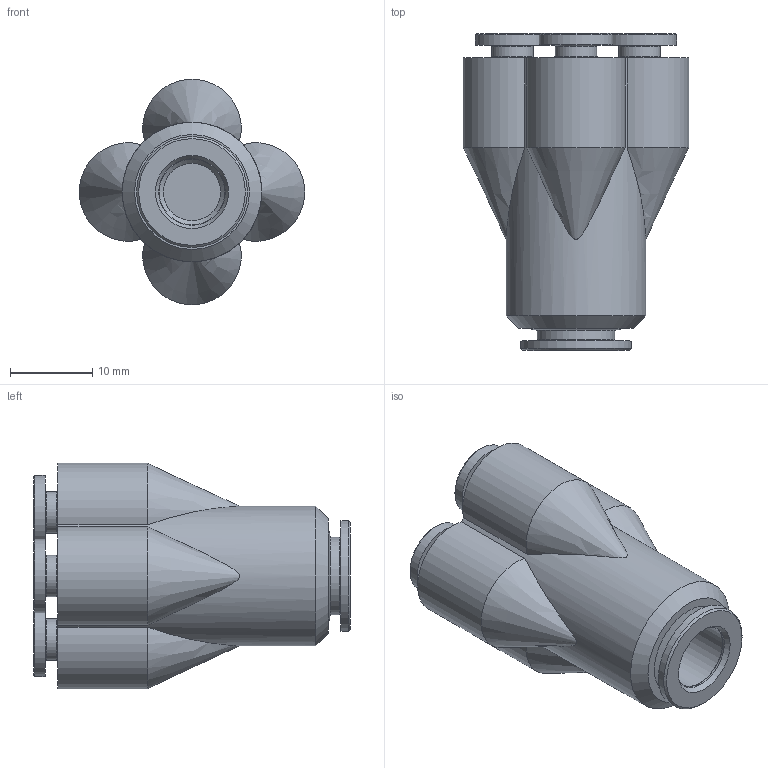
import cadquery as cq


overall_length = 38.6
branch_count = 4

body_radius = 8.5
body_chamfer = 1.5

inlet_flange_radius = 6.75
inlet_flange_thickness = 1.15
inlet_flange_chamfer = 0.25
inlet_neck_radius = 4.73
inlet_neck_fillet = 0.15
inlet_projection = 2.7
inlet_flare_radius = 5.9
inlet_flare_height = 0.25

bore_mouth_radius = 4.45
bore_lead_depth = 0.6
bore_land_radius = 4.05
bore_land_length = 0.25
bore_radius = 4.0
bore_depth = 17.0
bore_seat_radius = 3.5
bore_seat_depth = 0.5

branch_radius = 6.0
branch_offset = 7.75
branch_barrel_length = 10.95
branch_cone_run = 11.2

outlet_flange_radius = 4.5
outlet_flange_thickness = 1.4
outlet_flange_chamfer = 0.15
outlet_neck_radius = 2.53
outlet_neck_fillet = 0.2
outlet_projection = 2.95
outlet_flare_radius = 3.1
outlet_flare_height = 0.12

front_end = -overall_length / 2
rear_end = overall_length / 2
body_front = front_end + inlet_projection
body_rear = rear_end - outlet_projection
barrel_front = body_rear - branch_barrel_length

cone_slope = (branch_offset + branch_radius - body_radius) / branch_cone_run
cone_apex = barrel_front - branch_radius / cone_slope


def revolve_about_y(profile):
    """Revolve a closed profile, drawn in the XY plane as (radius, y), about the Y axis."""
    return profile.close().revolve(360, (0, 0, 0), (0, 1, 0))


def make_body():
    """Round main body with a chamfered front edge."""
    return revolve_about_y(
        cq.Workplane("XY")
        .moveTo(0, body_front)
        .lineTo(body_radius - body_chamfer, body_front)
        .lineTo(body_radius, body_front + body_chamfer)
        .lineTo(body_radius, body_rear)
        .lineTo(0, body_rear)
    )


def make_branch():
    """Barrel with a conical front end, centred on the Y axis."""
    return revolve_about_y(
        cq.Workplane("XY")
        .moveTo(0, cone_apex)
        .lineTo(branch_radius, barrel_front)
        .lineTo(branch_radius, body_rear)
        .lineTo(0, body_rear)
    )


def make_collet(face, tip, flange_radius, flange_thickness, flange_chamfer, neck_radius, neck_fillet,
                flare_radius, flare_height):
    """Flanged release collet on the Y axis, with a shallow cone where its neck stands on the body face."""
    outward = 1 if tip > face else -1
    flare_top = face + outward * flare_height
    flange_back = tip - outward * flange_thickness
    return revolve_about_y(
        cq.Workplane("XY")
        .moveTo(0, face)
        .lineTo(flare_radius, face)
        .lineTo(neck_radius, flare_top)
        .lineTo(neck_radius, flange_back - outward * neck_fillet)
        .radiusArc((neck_radius + neck_fillet, flange_back), outward * neck_fillet)
        .lineTo(flange_radius, flange_back)
        .lineTo(flange_radius, tip - outward * flange_chamfer)
        .lineTo(flange_radius - flange_chamfer, tip)
        .lineTo(0, tip)
    )


def make_bore():
    """Tapered mouth, short land, straight tube socket and a conical seat with a flat floor."""
    lead_end = front_end + bore_lead_depth
    land_end = lead_end + bore_land_length
    seat_start = front_end + bore_depth - bore_seat_depth
    return revolve_about_y(
        cq.Workplane("XY")
        .moveTo(0, front_end)
        .lineTo(bore_mouth_radius, front_end)
        .lineTo(bore_land_radius, lead_end)
        .lineTo(bore_land_radius, land_end)
        .lineTo(bore_radius, land_end)
        .lineTo(bore_radius, seat_start)
        .lineTo(bore_seat_radius, front_end + bore_depth)
        .lineTo(0, front_end + bore_depth)
    )


def place_on_branches(shape):
    """Copies of a shape, one per branch, evenly spaced around the Y axis at the branch offset."""
    shifted = shape.translate((branch_offset, 0, 0))
    spacing_angle = 360 / branch_count
    return [
        shifted.rotate((0, 0, 0), (0, 1, 0), index * spacing_angle)
        for index in range(branch_count)
    ]


inlet_collet = make_collet(
    body_front, front_end, inlet_flange_radius, inlet_flange_thickness, inlet_flange_chamfer,
    inlet_neck_radius, inlet_neck_fillet, inlet_flare_radius, inlet_flare_height,
)
outlet_collet = make_collet(
    body_rear, rear_end, outlet_flange_radius, outlet_flange_thickness, outlet_flange_chamfer,
    outlet_neck_radius, outlet_neck_fillet, outlet_flare_radius, outlet_flare_height,
)

result = make_body()
for branch in place_on_branches(make_branch()):
    result = result.union(branch)
for collet in place_on_branches(outlet_collet):
    result = result.union(collet)
result = result.union(inlet_collet).cut(make_bore())